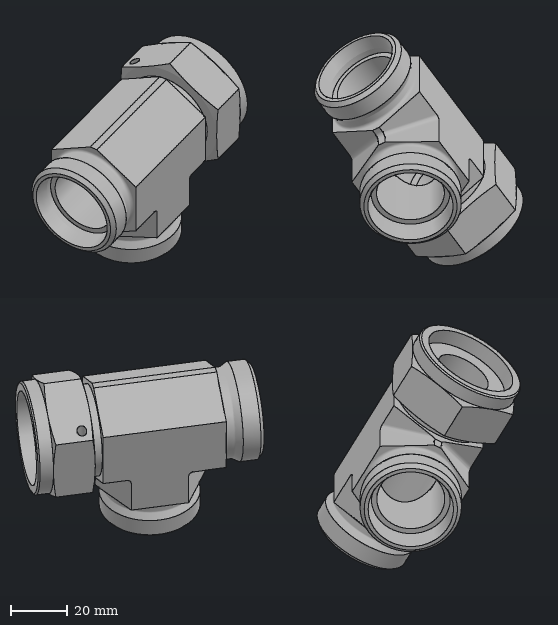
import cadquery as cq
import math


block_flats = 36.0
block_corner_reach = 20.0
block_face = 24.0
block_back = 20.55
block_fillet = 2.0

port_end = 38.0
thread_radius = block_flats / 2
neck_radius = 16.5
neck_fillet = 1.2
neck_cone_start = 27.3
neck_cone_fillet = 1.0
neck_cone_angle = 30.0
thread_chamfer = thread_radius - neck_radius

mouth_diameter = 30.2
tube_diameter = 28.0
port_bore_diameter = 24.0
seat_half_angle = 12.0
tube_socket_depth = 7.5
seat_depth = (mouth_diameter - tube_diameter) / 2 / math.tan(math.radians(seat_half_angle))

spigot_radius = neck_radius
spigot_bore_diameter = 20.0
spigot_bore_cone_half_angle = 60.0

nut_flats = 41.0
nut_front = 23.9
nut_hex_back = 39.0
nut_back = 44.5
nut_lip_back = 32.2
nut_thread_diameter = 33.8
nut_chamfer_angle = 15.0
collar_diameter = 40.8
collar_chamfer = 0.6
spigot_end = nut_hex_back

wire_hole_x = -17.0
wire_hole_y = 28.05
wire_hole_diameter = 3.4
wire_hole_tip_diameter = 1.8
wire_hole_bottom = 7.0

TOWARD_FRONT = 90
TOWARD_BACK = -90
TOWARD_BRANCH = 180


def turned(shape, angle):
    return shape.rotate((0, 0, 0), (1, 0, 0), angle)


def cylinder(diameter, start, end):
    return cq.Workplane("XY").workplane(offset=start).circle(diameter / 2).extrude(end - start)


def hexagon(flats, start, end):
    """Hexagonal prism along Z with flats facing +X and -X."""
    across_corners = flats / math.cos(math.radians(30))
    prism = cq.Workplane("XY").workplane(offset=start).polygon(6, across_corners).extrude(end - start)
    return prism.rotate((0, 0, 0), (0, 0, 1), 90)


def block_prism(start, end):
    """Block hexagon with its two corners on the Y axis cut flat."""
    envelope = (
        cq.Workplane("XY").workplane(offset=start)
        .rect(block_flats, 2 * block_corner_reach).extrude(end - start)
    )
    return hexagon(block_flats, start, end).intersect(envelope)


def is_inside_corner(edge):
    """Run and branch meet on the planes z = -y and z = y, below the side flats."""
    middle = edge.Center()
    on_diagonal = abs(abs(middle.y) + middle.z) < 0.01
    return on_diagonal and middle.z < -block_flats / 4


def make_block():
    run = turned(block_prism(-block_face, block_face), TOWARD_FRONT)
    branch = turned(block_prism(0, block_face), TOWARD_BRANCH)
    block = run.union(branch)
    corners = [edge for edge in block.edges().vals() if is_inside_corner(edge)]
    block = block.newObject(corners).fillet(block_fillet)
    surplus = cq.Workplane("XY").box(2 * block_flats, block_face, 4 * block_face)
    return block.cut(surplus.translate((0, block_back + block_face / 2, 0)))


def port_outside():
    """Neck and thread envelope of a port along +Z."""
    slope = math.radians(neck_cone_angle)
    cone_x = neck_radius + neck_cone_fillet * (1 - math.cos(slope))
    cone_z = neck_cone_start + neck_cone_fillet * math.sin(slope)
    thread_start = cone_z + (thread_radius - cone_x) / math.tan(slope)
    arc_inset = neck_fillet * (1 - math.sqrt(0.5))
    return (
        cq.Workplane("XZ")
        .moveTo(0, block_face)
        .lineTo(neck_radius + neck_fillet, block_face)
        .threePointArc(
            (neck_radius + arc_inset, block_face + arc_inset),
            (neck_radius, block_face + neck_fillet),
        )
        .lineTo(neck_radius, neck_cone_start)
        .tangentArcPoint((cone_x, cone_z), relative=False)
        .lineTo(thread_radius, thread_start)
        .lineTo(thread_radius, port_end - thread_chamfer)
        .lineTo(thread_radius - thread_chamfer, port_end)
        .lineTo(0, port_end)
        .close()
        .revolve(360, (0, 0), (0, 1))
    )


def port_bore():
    """Conical seat, tube socket and bore of a port along +Z, down to the axis crossing."""
    return (
        cq.Workplane("XZ")
        .lineTo(port_bore_diameter / 2, 0)
        .lineTo(port_bore_diameter / 2, port_end - tube_socket_depth)
        .lineTo(tube_diameter / 2, port_end - tube_socket_depth)
        .lineTo(tube_diameter / 2, port_end - seat_depth)
        .lineTo(mouth_diameter / 2, port_end)
        .lineTo(0, port_end)
        .close()
        .revolve(360, (0, 0), (0, 1))
    )


def spigot_bore():
    """Bore along +Z that narrows by a drill-point cone ending level with the block's back face."""
    cone_step = (port_bore_diameter - spigot_bore_diameter) / 2
    cone_length = cone_step / math.tan(math.radians(spigot_bore_cone_half_angle))
    return (
        cq.Workplane("XZ")
        .lineTo(port_bore_diameter / 2, 0)
        .lineTo(port_bore_diameter / 2, block_back - cone_length)
        .lineTo(spigot_bore_diameter / 2, block_back)
        .lineTo(spigot_bore_diameter / 2, spigot_end)
        .lineTo(0, spigot_end)
        .close()
        .revolve(360, (0, 0), (0, 1))
    )


def make_tee():
    tee = make_block()
    tee = tee.union(turned(cylinder(2 * spigot_radius, block_back, spigot_end), TOWARD_BACK))
    for direction in (TOWARD_FRONT, TOWARD_BRANCH):
        tee = tee.union(turned(port_outside(), direction))
    for direction in (TOWARD_FRONT, TOWARD_BRANCH):
        tee = tee.cut(turned(port_bore(), direction))
    return tee.cut(turned(spigot_bore(), TOWARD_BACK))


def nut_hexagon():
    """Nut hexagon along +Z, both ends chamfered to a circle touching the flats."""
    flat_radius = nut_flats / 2
    outer_radius = nut_flats
    rise = (outer_radius - flat_radius) * math.tan(math.radians(nut_chamfer_angle))
    envelope = (
        cq.Workplane("XZ")
        .moveTo(0, nut_front)
        .lineTo(flat_radius, nut_front)
        .lineTo(outer_radius, nut_front + rise)
        .lineTo(outer_radius, nut_hex_back - rise)
        .lineTo(flat_radius, nut_hex_back)
        .lineTo(0, nut_hex_back)
        .close()
        .revolve(360, (0, 0), (0, 1))
    )
    return hexagon(nut_flats, nut_front, nut_hex_back).intersect(envelope)


def wire_hole():
    """Vertical blind hole with a raised 45 degree cone on its bottom, cut off to a small flat."""
    cone_height = (wire_hole_diameter - wire_hole_tip_diameter) / 2
    hole = (
        cq.Workplane("XZ")
        .moveTo(0, wire_hole_bottom + cone_height)
        .lineTo(wire_hole_tip_diameter / 2, wire_hole_bottom + cone_height)
        .lineTo(wire_hole_diameter / 2, wire_hole_bottom)
        .lineTo(wire_hole_diameter / 2, nut_flats)
        .lineTo(0, nut_flats)
        .close()
        .revolve(360, (0, 0), (0, 1))
    )
    return hole.translate((wire_hole_x, wire_hole_y, 0))


def make_nut():
    collar = cylinder(collar_diameter, nut_hex_back, nut_back).faces(">Z").chamfer(collar_chamfer)
    nut = nut_hexagon().union(collar)
    nut = nut.cut(cylinder(2 * spigot_radius, nut_front, nut_lip_back))
    nut = nut.cut(cylinder(nut_thread_diameter, nut_lip_back, nut_back))
    return turned(nut, TOWARD_BACK).cut(wire_hole())


tee = make_tee()
nut = make_nut()

result = cq.Compound.makeCompound([tee.val(), nut.val()])